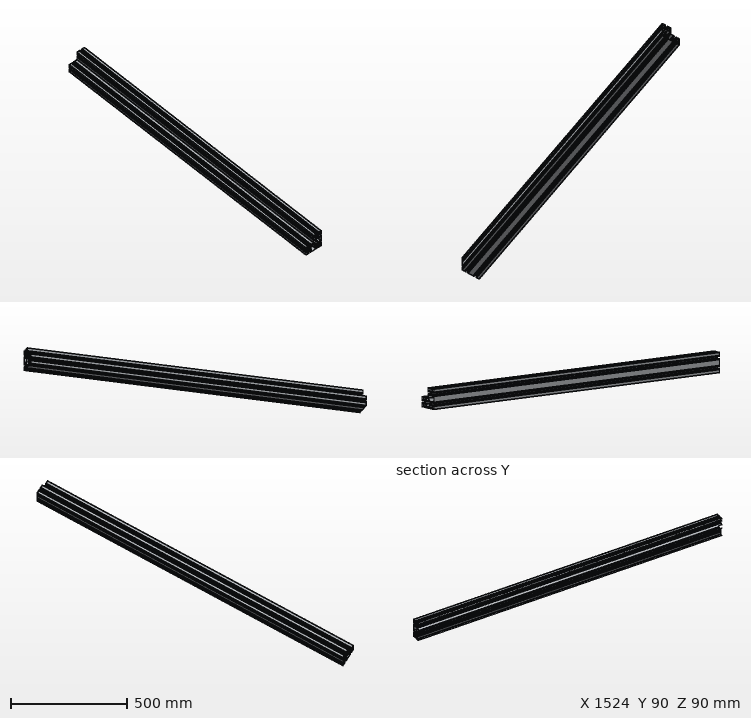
import cadquery as cq
import math


length = 1524.0
side = 90.0
module = side / 2
core = module / 2
bore_diameter = 7.3
corner_radius = 2.0

opening_half = 4.3
lip_depth = 4.3
undercut_half = 8.8
taper_half = 6.0
taper_depth = 14.2
floor_half = 4.1
floor_depth = 15.0
groove_depth = 0.5

hollow_wall = 1.8
hollow_size = 11.1

cavity_wall = 2.0
shelf_distance = 10.0
shelf_half = 6.7
neck_distance = 8.7
neck_half = 6.2
hub_distance = 6.7
hub_half = 3.8

web_start = 7.3
web_thickness = 1.4

upper_core = (core, side - core)
corner_core = (core, core)
lower_core = (side - core, core)

slots = [
    (upper_core, [(-1, 0), (0, 1), (1, 0)]),
    (corner_core, [(-1, 0), (0, -1)]),
    (lower_core, [(0, 1), (1, 0), (0, -1)]),
]
hollows = [
    (upper_core, [(-1, 1), (1, 1)]),
    (corner_core, [(-1, -1)]),
    (lower_core, [(1, 1), (1, -1)]),
]


def place(u, v):
    """Section coordinates to the Y, Z position of the centred part."""
    return (side / 2 - u, v - side / 2)


def section_plane():
    return cq.Workplane("YZ", origin=(-length / 2, 0, 0))


def prism(points):
    """Closed outline in (u, v), extruded over the whole length."""
    return section_plane().polyline([place(u, v) for u, v in points]).close().extrude(length)


def body():
    outline = [(0, 0), (0, side), (module, side), (module, module), (side, module), (side, 0)]
    return prism(outline).edges("|X").fillet(corner_radius)


def t_slot(centre, direction):
    half = [
        (-opening_half, core),
        (-opening_half, core - lip_depth),
        (-undercut_half, core - lip_depth),
        (-taper_half, core - taper_depth),
        (-floor_half, core - floor_depth),
    ]
    floor_middle = (0, core - floor_depth - groove_depth)
    right_half = [(-s, t) for s, t in reversed(half)]
    points = half + [floor_middle] + right_half
    out_u, out_v = direction
    return prism([
        (centre[0] + s * out_v + t * out_u, centre[1] - s * out_u + t * out_v)
        for s, t in points
    ])


def corner_hollow(centre, direction):
    near = core - hollow_wall - hollow_size
    far = core - hollow_wall
    square = [(near, near), (far, near), (far, far), (near, far)]
    return prism([(centre[0] + direction[0] * s, centre[1] + direction[1] * t) for s, t in square])


def cavity_outline():
    """Cavity between the upper core and the corner core."""
    wall_half = core - cavity_wall
    core_side = [
        (-wall_half, shelf_distance),
        (-shelf_half, shelf_distance),
        (-neck_half, neck_distance),
        (-hub_half, hub_distance),
    ]
    mirrored_side = [(-s, t) for s, t in reversed(core_side)]
    below_upper = [(core + s, side - core - t) for s, t in core_side + mirrored_side]
    above_corner = [(core + s, core + t) for s, t in reversed(core_side)]
    web_rise = web_thickness / math.sqrt(2)
    web_ends = [module - cavity_wall, core + web_start]
    web_edge = [(u, u + web_rise) for u in web_ends]
    return below_upper + web_edge + above_corner


result = body()
for centre, directions in slots:
    for direction in directions:
        result = result.cut(t_slot(centre, direction))
for centre, directions in hollows:
    for direction in directions:
        result = result.cut(corner_hollow(centre, direction))

upper_cavity = cavity_outline()
lower_cavity = [(v, u) for u, v in upper_cavity]
for outline in (upper_cavity, lower_cavity):
    result = result.cut(prism(outline))

bore_places = [place(u, v) for u, v in (upper_core, corner_core, lower_core)]
bores = section_plane().pushPoints(bore_places).circle(bore_diameter / 2).extrude(length)
result = result.cut(bores)